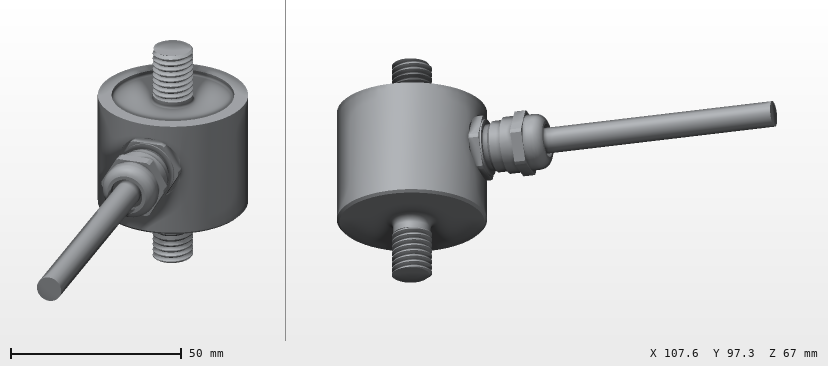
import cadquery as cq
import math

housing_diameter = 44.0
housing_height = 35.0
bottom_chamfer = 0.8
recess_diameter = 36.0
recess_depth = 1.5
recess_fillet = 0.6
recess_floor = housing_height - recess_depth

thread_diameter = 11.8
thread_root_diameter = 9.8
thread_pitch = 1.75
thread_groove_width = 1.5
groove_clearance = 0.05
upper_neck_diameter = thread_diameter
lower_neck_diameter = 11.0
upper_neck_length = 1.8
upper_neck_fillet = 0.6
lower_neck_length = 4.0
lower_neck_fillet = 2.0
upper_stud_height = 15.0
upper_stud_top = housing_height + upper_stud_height
lower_stud_end = -17.0

outlet_angle = 41.05
outlet_height = 21.0
spotface_diameter = 19.5
spotface_distance = 20.0

hex_across_flats = 17.1
hex_corner_diameter = 19.2
base_hex_end = 23.0
base_collar_end = 23.5
base_collar_diameter = 16.8
groove_end = 24.9
groove_diameter = 13.7
sleeve_start = 25.6
sleeve_end = 29.1
sleeve_diameter = 15.2
cap_hex_start = 32.7
cap_hex_end = 36.1
cap_skirt_diameter = 16.8
dome_diameter = 16.5
dome_start = 38.2
gland_end = 41.5
dome_rim_diameter = 11.8
mouth_diameter = 9.8
mouth_depth = 2.2

cable_diameter = 7.5
cable_end = 110.3

outlet_plane = cq.Plane(
    origin=(0, 0, outlet_height),
    xDir=(0, 0, 1),
    normal=(math.cos(math.radians(outlet_angle)), -math.sin(math.radians(outlet_angle)), 0),
)


def outlet_cylinder(diameter, start, end):
    """Cylinder on the outlet axis between two distances from the housing axis."""
    return cq.Workplane(outlet_plane).workplane(offset=start).circle(diameter / 2).extrude(end - start)


def clipped_hex(start, end):
    """Hexagon on the outlet axis with flats above and below and its corners turned down."""
    across_corners = hex_across_flats / math.cos(math.radians(30))
    hexagon = (
        cq.Workplane(outlet_plane)
        .workplane(offset=start)
        .transformed(rotate=(0, 0, 30))
        .polygon(6, across_corners)
        .extrude(end - start)
    )
    return hexagon.intersect(outlet_cylinder(hex_corner_diameter, start, end))


def thread_groove(bottom, turns):
    """Right-hand V-groove cutter that starts on the +X side at height `bottom`."""
    crest_radius = thread_diameter / 2
    root_radius = thread_root_diameter / 2
    path = cq.Wire.makeHelix(thread_pitch, turns * thread_pitch, crest_radius)
    cutter = (
        cq.Workplane("XZ")
        .polyline(
            [
                (root_radius, 0),
                (crest_radius + groove_clearance, thread_groove_width / 2),
                (crest_radius + groove_clearance, -thread_groove_width / 2),
            ]
        )
        .close()
        .sweep(cq.Workplane(path), isFrenet=True)
    )
    return cutter.translate((0, 0, bottom))


def threaded_rod(neck_end, free_end):
    """Threaded length between two heights; its groove crosses the free end on the +X side."""
    low = min(neck_end, free_end)
    length = abs(free_end - neck_end)
    turns = math.ceil(length / thread_pitch) + 2
    groove_bottom = free_end - thread_pitch
    if free_end > neck_end:
        groove_bottom = free_end - (turns - 1) * thread_pitch
    overhang = 3 * thread_pitch
    bar = (
        cq.Workplane("XY")
        .workplane(offset=low - overhang)
        .circle(thread_diameter / 2)
        .extrude(length + 2 * overhang)
    )
    trim = cq.Workplane("XY").workplane(offset=low).circle(thread_diameter).extrude(length)
    return bar.cut(thread_groove(groove_bottom, turns)).intersect(trim)


def make_stud(base, free_end, neck_diameter, neck_length, neck_fillet):
    """Threaded stud on the face at height `base`, with a neck that flares into that face."""
    side = math.copysign(1, free_end - base)
    neck_radius = neck_diameter / 2
    neck_end = base + side * neck_length
    arc_middle = neck_fillet * (1 - math.sqrt(0.5))
    neck = (
        cq.Workplane("XZ")
        .moveTo(0, base)
        .lineTo(neck_radius + neck_fillet, base)
        .threePointArc(
            (neck_radius + arc_middle, base + side * arc_middle),
            (neck_radius, base + side * neck_fillet),
        )
        .lineTo(neck_radius, neck_end)
        .lineTo(0, neck_end)
        .close()
        .revolve(360, (0, 0), (0, 1))
    )
    return neck.union(threaded_rod(neck_end, free_end))


def make_housing():
    can = (
        cq.Workplane("XY")
        .circle(housing_diameter / 2)
        .extrude(housing_height)
        .faces("<Z")
        .chamfer(bottom_chamfer)
    )
    recess = (
        cq.Workplane("XY")
        .workplane(offset=recess_floor)
        .circle(recess_diameter / 2)
        .extrude(recess_depth)
        .faces("<Z")
        .edges()
        .fillet(recess_fillet)
    )
    spotface = outlet_cylinder(spotface_diameter, spotface_distance, housing_diameter)
    can = can.cut(recess).cut(spotface)
    upper_stud = make_stud(
        recess_floor, upper_stud_top, upper_neck_diameter, upper_neck_length, upper_neck_fillet
    )
    lower_stud = make_stud(0, lower_stud_end, lower_neck_diameter, lower_neck_length, lower_neck_fillet)
    return can.union(upper_stud).union(lower_stud)


def make_gland():
    profile_plane = cq.Plane(origin=outlet_plane.origin, xDir=outlet_plane.zDir, normal=outlet_plane.yDir)
    turned = (
        cq.Workplane(profile_plane)
        .moveTo(spotface_distance, 0)
        .lineTo(spotface_distance, base_collar_diameter / 2)
        .lineTo(base_collar_end, base_collar_diameter / 2)
        .lineTo(base_collar_end, groove_diameter / 2)
        .lineTo(groove_end, groove_diameter / 2)
        .lineTo(sleeve_start, sleeve_diameter / 2)
        .lineTo(sleeve_end, sleeve_diameter / 2)
        .lineTo(sleeve_end, cap_skirt_diameter / 2)
        .lineTo(cap_hex_start, cap_skirt_diameter / 2)
        .lineTo(cap_hex_start, dome_diameter / 2)
        .lineTo(dome_start, dome_diameter / 2)
        .tangentArcPoint((gland_end, dome_rim_diameter / 2), relative=False)
        .lineTo(gland_end, 0)
        .close()
        .revolve(360, (0, 0), (1, 0))
    )
    gland = turned.union(clipped_hex(spotface_distance, base_hex_end))
    gland = gland.union(clipped_hex(cap_hex_start, cap_hex_end))
    gland = gland.cut(outlet_cylinder(cable_diameter, spotface_distance, gland_end))
    return gland.cut(outlet_cylinder(mouth_diameter, gland_end - mouth_depth, gland_end))


def make_cable():
    return outlet_cylinder(cable_diameter, spotface_distance, cable_end)


housing = make_housing()
gland = make_gland()
cable = make_cable()

result = cq.Compound.makeCompound([housing.solids().val(), gland.solids().val(), cable.solids().val()])